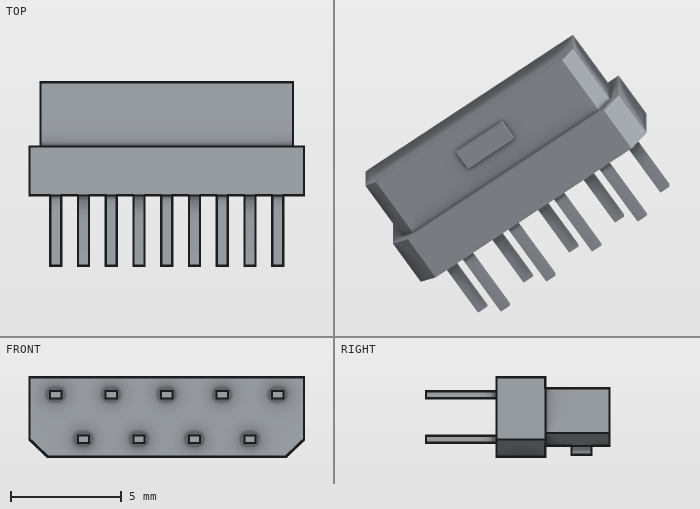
import cadquery as cq

flange_width = 12.4
flange_depth = 2.21
flange_height = 3.6
flange_chamfer_x = 0.82
flange_chamfer_z = 0.78

plug_step = 0.5
plug_depth = 2.9
plug_width = flange_width - 2 * plug_step
plug_height = flange_height - 2 * plug_step
plug_chamfer_z = 0.57
plug_chamfer_x = plug_chamfer_z * flange_chamfer_x / flange_chamfer_z

pin_count = 9
pin_pitch = 1.25
pin_row_spacing = 2.01
pin_width = 0.51
pin_height = 0.33
pin_length = 3.19

key_width = 2 * pin_pitch
key_depth = 0.9
key_drop = 0.41
key_setback = 0.82

plug_back_y = flange_depth + plug_depth


def chamfered_block(width, height, depth, chamfer_x, chamfer_z, front_y):
    """Block running toward +Y from front_y, with both lower corners cut off."""
    half_width = width / 2
    half_height = height / 2
    outline = [
        (-half_width, half_height),
        (half_width, half_height),
        (half_width, chamfer_z - half_height),
        (half_width - chamfer_x, -half_height),
        (chamfer_x - half_width, -half_height),
        (-half_width, chamfer_z - half_height),
    ]
    plane = cq.Workplane("XZ", origin=(0, front_y, 0))
    return plane.polyline(outline).close().extrude(-depth)


def pin_positions():
    """Pin centres (x, z) on the flange face, alternating between upper and lower row."""
    first_x = -(pin_count - 1) / 2 * pin_pitch
    positions = []
    for index in range(pin_count):
        row_side = 1 if index % 2 == 0 else -1
        positions.append((first_x + index * pin_pitch, row_side * pin_row_spacing / 2))
    return positions


def make_pins():
    """Rectangular pins running toward -Y from the flange face."""
    return cq.Workplane("XZ").pushPoints(pin_positions()).rect(pin_width, pin_height).extrude(pin_length)


def make_key():
    """Centred tab hanging from the underside of the plug."""
    key_centre_y = plug_back_y - key_setback - key_depth / 2
    underside = cq.Workplane("XY", origin=(0, key_centre_y, -plug_height / 2))
    return underside.rect(key_width, key_depth).extrude(-key_drop)


flange = chamfered_block(
    flange_width, flange_height, flange_depth, flange_chamfer_x, flange_chamfer_z, 0
)
plug = chamfered_block(
    plug_width, plug_height, plug_depth, plug_chamfer_x, plug_chamfer_z, flange_depth
)

result = flange.union(plug).union(make_key()).union(make_pins())